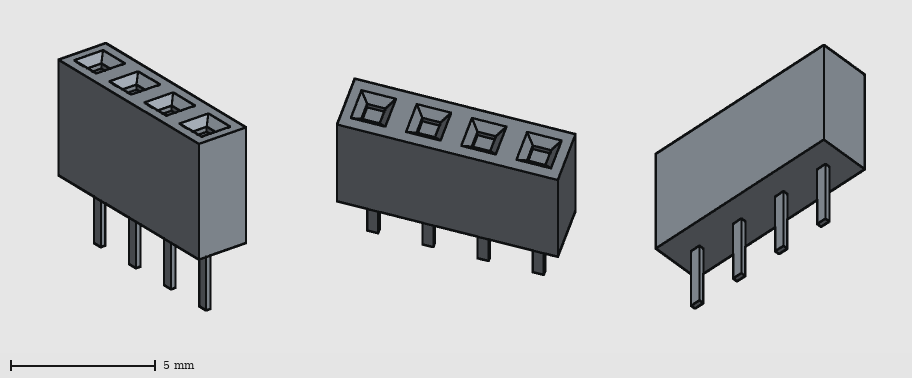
import cadquery as cq

pin_count = 4
pitch = 2.0
body_length = pin_count * pitch
body_width = 2.06
body_height = 4.5

pin_width = 0.4
pin_thickness = 0.2
pin_length = 2.6

mouth_side = 1.25
well_side = 0.66
mouth_depth = 0.3
well_depth = 0.2

pin_centres = [((i - (pin_count - 1) / 2) * pitch, 0) for i in range(pin_count)]


def make_housing():
    """Plain block standing on the XY plane."""
    return cq.Workplane("XY").box(body_length, body_width, body_height, centered=(True, True, False))


def make_pins():
    """Row of flat pins hanging below the housing."""
    return cq.Workplane("XY").pushPoints(pin_centres).rect(pin_width, pin_thickness).extrude(-pin_length)


def make_socket(centre):
    """Square funnel narrowing from the top face into a shallow square well."""
    mouth = (
        cq.Workplane("XY", origin=(*centre, body_height))
        .rect(mouth_side, mouth_side)
        .workplane(offset=-mouth_depth)
        .rect(well_side, well_side)
        .loft(ruled=True)
    )
    well_top = cq.Workplane("XY", origin=(*centre, body_height - mouth_depth))
    well = well_top.rect(well_side, well_side).extrude(-well_depth)
    return mouth.union(well)


result = make_housing().union(make_pins())
for centre in pin_centres:
    result = result.cut(make_socket(centre))